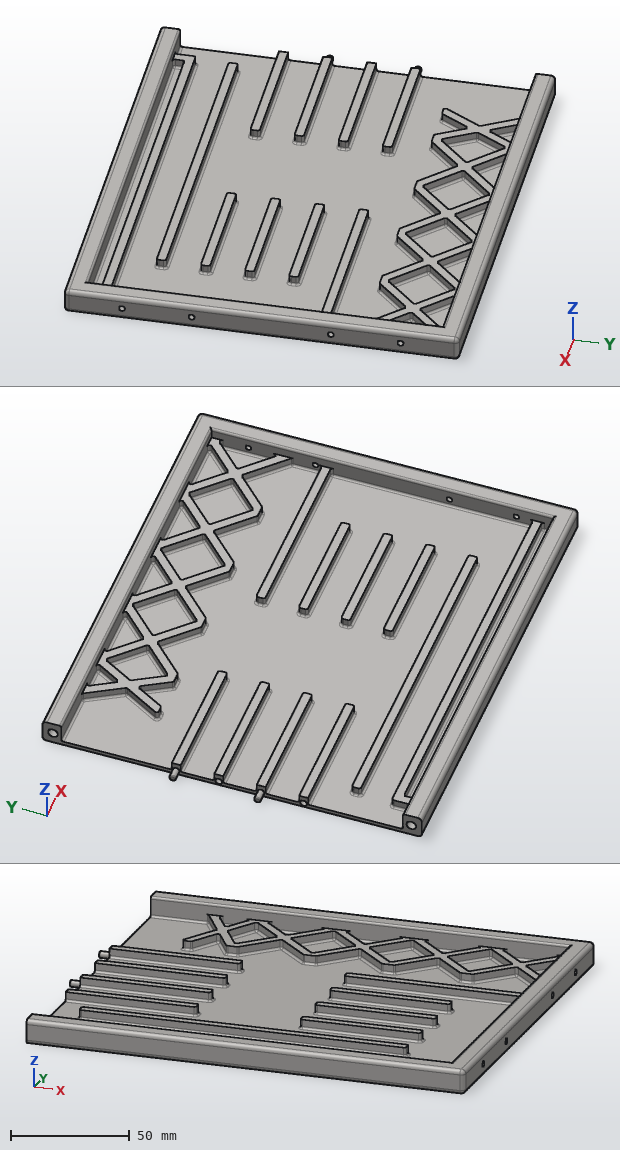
import cadquery as cq
import math

LENGTH = 195.0
WIDTH = 170.0
HEIGHT = 11.0
FLOOR = 2.0
WALL = 8.5
OUTER_FILLET = 2.0
INNER_FILLET = 1.0

RIB_TOP = 6.0
RIB_WIDTH = 4.0
RIB_PITCH = 19.0
SLOTTED_RIB_Y = 15.5
LOWEST_RIB_Y = 34.0
LONG_RIB_START = 12.5
SHORT_RIB_START = 104.5
RIB_END = 158.0
FRONT_RIB_END = 58.0
FRONT_RIB_COUNT = 4
SLOTTED_RIB_START = 11.0

BAR_WIDTH = 4.0
LATTICE_PITCH = 34.9
LATTICE_CENTRE_Y = 145.0
LATTICE_DEPTH = 35.0
LAST_CROSSING_X = 169.8
SQUARE_CROSSINGS = 4
SQUARE_ANGLE = 45.0
STEEP_ANGLE = 60.0

PIN_DIAMETER = 3.0
PIN_LENGTH = 5.0
PIN_TIP_FILLET = 0.5
PIN_Z = 2.15
SOCKET_DEPTH = 5.0

WALL_END_HOLE_DIAMETER = 4.3
WALL_END_HOLE_DEPTH = 10.0
WALL_END_HOLE_INSET = 4.75
END_WALL_HOLE_DIAMETER = 2.5
END_WALL_HOLE_OFFSETS = (30.0, 60.0)

inner_end = LENGTH - WALL
inner_top = WIDTH - WALL
lattice_bottom = LATTICE_CENTRE_Y - LATTICE_DEPTH / 2
front_rib_ys = [LOWEST_RIB_Y + RIB_PITCH * (i + 1) for i in range(FRONT_RIB_COUNT)]


def box(x0, x1, y0, y1, z0, z1):
    return cq.Workplane("XY").box(x1 - x0, y1 - y0, z1 - z0, centered=False).translate((x0, y0, z0))


def x_cylinder(x0, x1, y, z, diameter):
    return cq.Workplane("YZ").center(y, z).circle(diameter / 2).extrude(x1 - x0).translate((x0, 0, 0))


def inside_box(z_min, z_max):
    """Selector for edges centred between two heights inside the tray, clear of the open edge."""
    margin = 0.1
    return cq.selectors.BoxSelector(
        (margin, WALL - margin, z_min - margin), (inner_end + margin, inner_top + margin, z_max + margin)
    )


def make_tray():
    """Floor with walls on three sides, rounded outside, open at X = 0."""
    outer = box(0, LENGTH, 0, WIDTH, 0, HEIGHT)
    outer = outer.faces(">X or >Y or <Y").edges("not <X").fillet(OUTER_FILLET)
    return outer.cut(box(0, inner_end, WALL, inner_top, FLOOR, HEIGHT))


def rib(x_start, x_end, y):
    return box(x_start, x_end, y - RIB_WIDTH / 2, y + RIB_WIDTH / 2, FLOOR, RIB_TOP)


def make_ribs():
    """Straight ribs, and the lowest one with its return to the side wall."""
    ribs = rib(LONG_RIB_START, RIB_END, LOWEST_RIB_Y)
    for y in front_rib_ys:
        back_end = inner_end if y == front_rib_ys[-1] else RIB_END
        ribs = ribs.union(rib(0, FRONT_RIB_END, y))
        ribs = ribs.union(rib(SHORT_RIB_START, back_end, y))
    ribs = ribs.union(rib(SLOTTED_RIB_START, inner_end, SLOTTED_RIB_Y))
    wall_return = box(SLOTTED_RIB_START, SLOTTED_RIB_START + RIB_WIDTH, WALL, SLOTTED_RIB_Y, FLOOR, RIB_TOP)
    return ribs.union(wall_return)


def crossed_bars(x, angle, x_min, x_max, y_min):
    """Two bars crossing at x on the lattice's centre line, trimmed to the given limits and the wall."""
    bar_length = 2 * LATTICE_PITCH
    bar = cq.Workplane("XY").box(bar_length, BAR_WIDTH, RIB_TOP - FLOOR, centered=(True, True, False))
    rising = bar.rotate((0, 0, 0), (0, 0, 1), angle)
    falling = bar.rotate((0, 0, 0), (0, 0, 1), -angle)
    cross = rising.union(falling).translate((x, LATTICE_CENTRE_Y, FLOOR))
    return cross.intersect(box(x_min, x_max, y_min, inner_top, FLOOR, RIB_TOP))


def make_lattice():
    """Row of square crosses along the upper wall, ending in one steeper, narrower cross."""
    half = LATTICE_PITCH / 2
    tail_bottom = lattice_bottom - BAR_WIDTH
    lattice = crossed_bars(LAST_CROSSING_X, SQUARE_ANGLE, LAST_CROSSING_X, inner_end, tail_bottom)
    for i in range(SQUARE_CROSSINGS):
        x = LAST_CROSSING_X - i * LATTICE_PITCH
        cell_end = min(x + half, inner_end)
        lattice = lattice.union(crossed_bars(x, SQUARE_ANGLE, x - half, cell_end, lattice_bottom))
    square_start = LAST_CROSSING_X - (SQUARE_CROSSINGS - 0.5) * LATTICE_PITCH
    steep_x = square_start - half / math.tan(math.radians(STEEP_ANGLE))
    return lattice.union(crossed_bars(steep_x, STEEP_ANGLE, 0, square_start + BAR_WIDTH, lattice_bottom))


def fillet_inside(body):
    """Round the rim, the feet of walls, ribs and bars, and the upright corners of ribs and bars."""
    rim = body.edges(inside_box(HEIGHT, HEIGHT))
    feet = body.edges(inside_box(FLOOR, FLOOR))
    corners = body.edges(inside_box(FLOOR, RIB_TOP)).edges("|Z")
    return feet.add(corners).add(rim).fillet(INNER_FILLET)


def add_pins_and_sockets(body):
    """Pins and sockets alternate under the front ribs."""
    for i, y in enumerate(front_rib_ys):
        if i % 2:
            pin = x_cylinder(-PIN_LENGTH, SOCKET_DEPTH, y, PIN_Z, PIN_DIAMETER)
            body = body.union(pin.faces("<X").edges().fillet(PIN_TIP_FILLET))
        else:
            body = body.cut(x_cylinder(0, SOCKET_DEPTH, y, PIN_Z, PIN_DIAMETER))
    return body


def drill_walls(body):
    """Blind holes in the side-wall ends and through holes in the end wall."""
    for side in (-1, 1):
        y = WIDTH / 2 + side * (WIDTH / 2 - WALL_END_HOLE_INSET)
        body = body.cut(x_cylinder(0, WALL_END_HOLE_DEPTH, y, HEIGHT / 2, WALL_END_HOLE_DIAMETER))
        for offset in END_WALL_HOLE_OFFSETS:
            y = WIDTH / 2 + side * offset
            body = body.cut(x_cylinder(inner_end - INNER_FILLET, LENGTH, y, HEIGHT / 2, END_WALL_HOLE_DIAMETER))
    return body


body = make_tray().union(make_ribs()).union(make_lattice())
body = fillet_inside(body)
body = add_pins_and_sockets(body)
result = drill_walls(body)